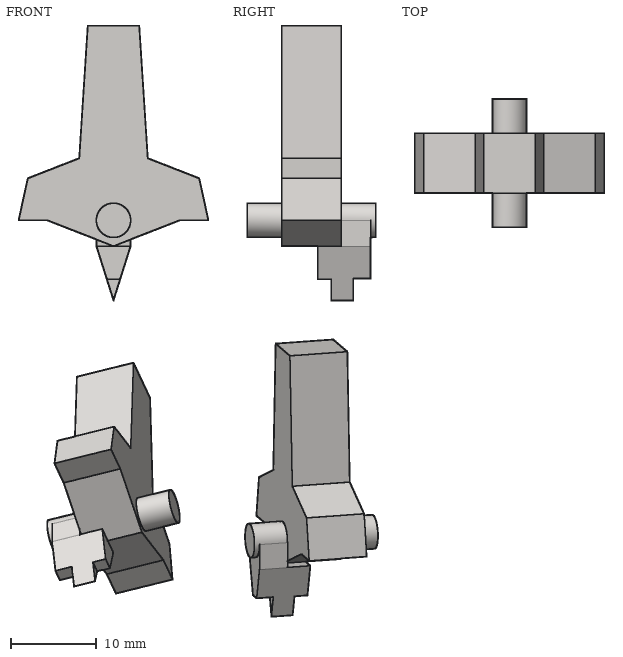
import cadquery as cq

pin_diameter = 4.0
pin_length = 15.0

body_thickness = 7.0
tower_top_z = 22.7
tower_top_half_width = 3.0
tower_base_z = 7.25
tower_base_half_width = 4.0
wing_top_z = 4.9
wing_top_half_width = 10.0
wing_bottom_half_width = 11.08
keel_half_width = 7.75
keel_z = -3.0

tip_z = -9.35
tooth_half_width = pin_diameter / 2
body_back_y = body_thickness / 2
rear_y = 6.9
rear_step_z = -6.8
rear_tip_y = 4.87
front_y = 0.7
front_step_z = -6.9
front_tip_y = 2.28


def extrude_along_y(points, y_start, y_end):
    """Extrude an XZ outline between two Y positions."""
    sketch = cq.Workplane("XZ", origin=(0, y_end, 0)).polyline(points).close()
    return sketch.extrude(y_end - y_start)


def box_between(y_start, y_end, z_bottom, z_top):
    """Box across the full tooth width."""
    size = (2 * tooth_half_width, y_end - y_start, z_top - z_bottom)
    center = (0, (y_start + y_end) / 2, (z_bottom + z_top) / 2)
    return cq.Workplane("XY").box(*size).translate(center)


def make_body():
    right_side = [
        (tower_top_half_width, tower_top_z),
        (tower_base_half_width, tower_base_z),
        (wing_top_half_width, wing_top_z),
        (wing_bottom_half_width, 0),
        (keel_half_width, 0),
    ]
    left_side = [(-x, z) for x, z in reversed(right_side)]
    outline = right_side + [(0, keel_z)] + left_side
    return extrude_along_y(outline, -body_back_y, body_back_y)


def make_pin():
    plane = cq.Workplane("XZ", origin=(0, pin_length / 2, 0))
    return plane.circle(pin_diameter / 2).extrude(pin_length)


def make_tooth():
    wedge = [(-tooth_half_width, keel_z), (tooth_half_width, keel_z), (0, tip_z)]
    tooth = extrude_along_y(wedge, front_y, rear_y)
    tooth = tooth.cut(box_between(rear_tip_y, rear_y, tip_z, rear_step_z))
    tooth = tooth.cut(box_between(front_y, front_tip_y, tip_z, front_step_z))
    return tooth.union(box_between(body_back_y, rear_y, keel_z, 0))


result = make_body().union(make_pin()).union(make_tooth())